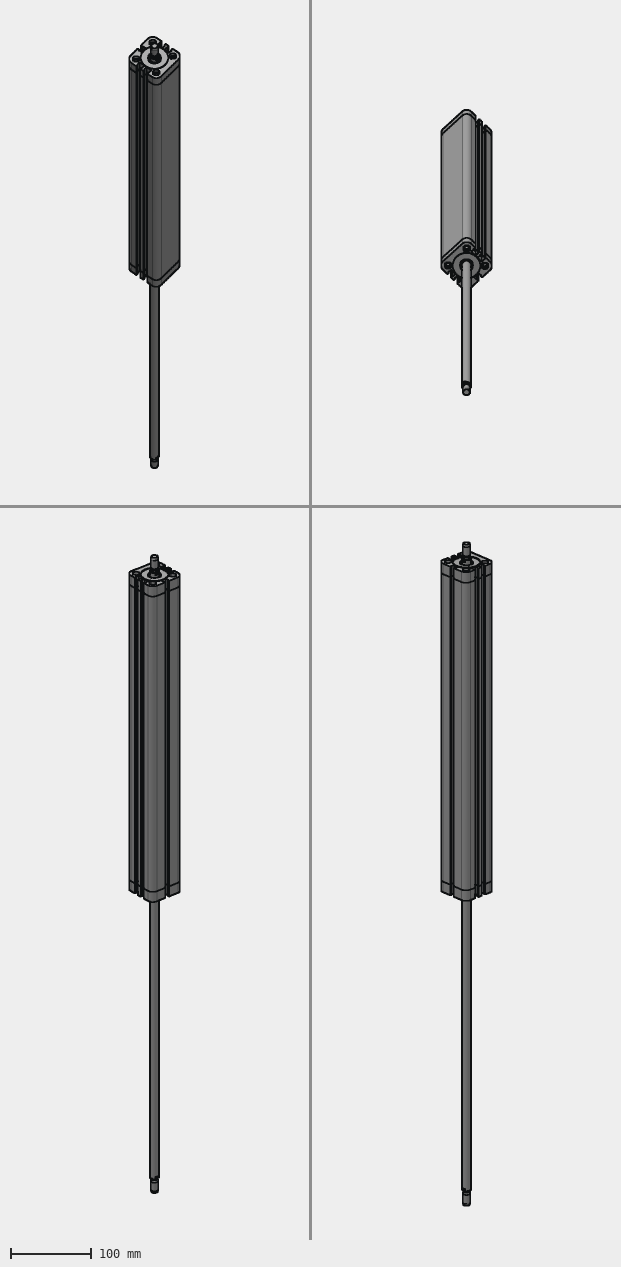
import cadquery as cq

total_length = 895.0
body_length = 445.0
upper_rod_reach = 25.0
body_top = total_length - upper_rod_reach
body_bottom = body_top - body_length
cap_length = 14.0
barrel_top = body_top - cap_length
barrel_bottom = body_bottom + cap_length

body_width = 49.0
half_width = body_width / 2
corner_radius = 8.0

slot_depth = 7.0
slot_mouth_width = 5.9
slot_inner_width = 7.5
slot_lip = 2.5
slot_offset = 5.55

recess_diameter = 34.0
recess_depth = 1.0
seal_diameter = 16.0
seal_depth = 2.2
screw_position = 16.0
screw_head_diameter = 8.6
screw_head_depth = 5.0
screw_diameter = 4.9

rod_diameter = 12.0
thread_diameter = 10.0
tip_diameter = 7.9
undercut_diameter = 7.9
tip_chamfer_length = 3.1
thread_end = 15.0
undercut_start = 18.0
shoulder = 21.0
flats_end = 23.0
flats_width = 10.0


def cut_slot(profile, z_bottom, length, offset, angle):
    """Cut a T-slot into the +Y side at X = offset, with that side turned by angle about Z."""
    lip_y = half_width - slot_lip
    floor_y = half_width - slot_depth
    inner_center_y = (lip_y + floor_y) / 2
    mouth_center_y = half_width - slot_lip / 2
    base = cq.Workplane("XY").workplane(offset=z_bottom)
    inner = base.center(offset, inner_center_y).rect(slot_inner_width, lip_y - floor_y).extrude(length)
    mouth = base.center(offset, mouth_center_y).rect(slot_mouth_width, slot_lip).extrude(length)
    slot = inner.union(mouth).rotate((0, 0, 0), (0, 0, 1), angle)
    return profile.cut(slot)


def make_profile(z_bottom, length):
    """Slotted square bar: two slots on each of the +Y and -Y sides and one on the -X side."""
    profile = (
        cq.Workplane("XY")
        .workplane(offset=z_bottom)
        .rect(body_width, body_width)
        .extrude(length)
        .edges("|Z")
        .fillet(corner_radius)
    )
    for side_angle in (0, 180):
        for offset in (-slot_offset, slot_offset):
            profile = cut_slot(profile, z_bottom, length, offset, side_angle)
    return cut_slot(profile, z_bottom, length, 0, 90)


def make_cap(z_bottom, outer_face):
    """End cap whose recess, seal seat and screw holes open on the outer face (">Z" or "<Z")."""
    cap = make_profile(z_bottom, cap_length)
    outer = cap.faces(outer_face).workplane(origin=(0, 0, 0))
    recess = outer.circle(recess_diameter / 2).extrude(-recess_depth, combine=False)
    seal_seat = outer.circle(seal_diameter / 2).extrude(-seal_depth, combine=False)
    rod_bore = outer.circle(rod_diameter / 2).extrude(-cap_length, combine=False)
    screw_spacing = 2 * screw_position
    return (
        outer.rect(screw_spacing, screw_spacing, forConstruction=True)
        .vertices()
        .cboreHole(screw_diameter, screw_head_diameter, screw_head_depth)
        .cut(recess)
        .cut(seal_seat)
        .cut(rod_bore)
    )


def make_rod(length):
    """Piston rod standing on its threaded tip at Z = 0, with two wrench flats facing +X and -X."""
    rod = (
        cq.Workplane("XZ")
        .moveTo(0, 0)
        .lineTo(tip_diameter / 2, 0)
        .lineTo(thread_diameter / 2, tip_chamfer_length)
        .lineTo(thread_diameter / 2, thread_end)
        .lineTo(undercut_diameter / 2, undercut_start)
        .lineTo(undercut_diameter / 2, shoulder)
        .lineTo(rod_diameter / 2, shoulder)
        .lineTo(rod_diameter / 2, length)
        .lineTo(0, length)
        .close()
        .revolve(360, (0, 0, 0), (0, 1, 0))
    )
    flats_base = cq.Workplane("XY").workplane(offset=shoulder)
    flats_length = flats_end - shoulder
    collar = flats_base.circle(rod_diameter).extrude(flats_length)
    kept = flats_base.rect(flats_width, 2 * rod_diameter).extrude(flats_length)
    return rod.cut(collar.cut(kept))


barrel = make_profile(barrel_bottom, barrel_top - barrel_bottom)
upper_cap = make_cap(barrel_top, ">Z")
lower_cap = make_cap(body_bottom, "<Z")

lower_rod = make_rod(barrel_bottom)
upper_rod = (
    make_rod(total_length - barrel_top)
    .rotate((0, 0, 0), (1, 0, 0), 180)
    .translate((0, 0, total_length))
)

result = cq.Compound.makeCompound(
    [barrel.val(), upper_cap.val(), lower_cap.val(), lower_rod.val(), upper_rod.val()]
)